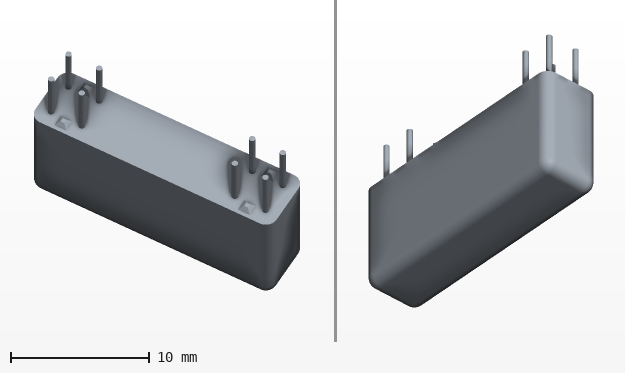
import cadquery as cq

LENGTH = 19.99
WIDTH = 4.98
HOUSING_HEIGHT = 8.65
CORNER_RADIUS = 0.88
CAVITY_LENGTH = 19.5

TOTAL_HEIGHT = 12.7
PIN_DIAMETER = 0.45
PIN_PITCH = 2.54
PIN_GROUP_SPACING = 15.23
STANDOFF_BASE = 0.98
STANDOFF_TOP = 0.32
STANDOFF_HEIGHT = 0.3
STANDOFF_ROW_SPACING = 3.42

WALL = (LENGTH - CAVITY_LENGTH) / 2
CAVITY_WIDTH = WIDTH - 2 * WALL
CAVITY_DEPTH = HOUSING_HEIGHT - WALL
CAVITY_RADIUS = CORNER_RADIUS - WALL
PIN_LENGTH = TOTAL_HEIGHT - HOUSING_HEIGHT
GROUP_CENTRES = (-PIN_GROUP_SPACING / 2, PIN_GROUP_SPACING / 2)


def rounded_block(length, width, height, radius, base_z):
    """Block with its upright edges and its bottom edge rounded, standing on base_z."""
    block = cq.Workplane("XY").workplane(offset=base_z).rect(length, width).extrude(height)
    return block.edges("|Z").fillet(radius).faces("<Z").edges().fillet(radius)


def filling_block():
    """Block that fills the cavity of the housing up to the rim."""
    return rounded_block(CAVITY_LENGTH, CAVITY_WIDTH, CAVITY_DEPTH, CAVITY_RADIUS, WALL)


def make_housing():
    outside = rounded_block(LENGTH, WIDTH, HOUSING_HEIGHT, CORNER_RADIUS, 0)
    return outside.cut(filling_block())


def pin_group(centre_x):
    """Four round pins in a square around centre_x."""
    return (
        cq.Workplane("XY", origin=(centre_x, 0, HOUSING_HEIGHT))
        .rect(PIN_PITCH, PIN_PITCH, forConstruction=True)
        .vertices()
        .circle(PIN_DIAMETER / 2)
        .extrude(PIN_LENGTH)
    )


def standoff(centre_x, centre_y):
    """Square pyramid with its tip cut off flat."""
    return (
        cq.Workplane("XY", origin=(centre_x, centre_y, HOUSING_HEIGHT))
        .rect(STANDOFF_BASE, STANDOFF_BASE)
        .workplane(offset=STANDOFF_HEIGHT)
        .rect(STANDOFF_TOP, STANDOFF_TOP)
        .loft()
    )


def make_insert():
    insert = filling_block()
    for centre_x in GROUP_CENTRES:
        insert = insert.union(pin_group(centre_x))
        for centre_y in (-STANDOFF_ROW_SPACING / 2, STANDOFF_ROW_SPACING / 2):
            insert = insert.union(standoff(centre_x, centre_y))
    return insert


housing = make_housing()
insert = make_insert()

result = cq.Compound.makeCompound([housing.val(), insert.val()])